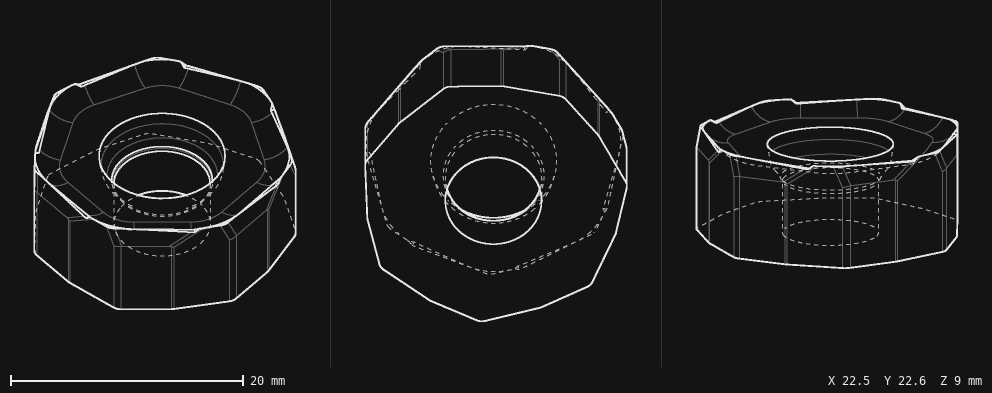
import cadquery as cq
import math

edge_count = 7
edge_pitch = 360 / edge_count
height = 9.0
relief_start_z = 7.37
relief_inset = 0.47

long_flank_apothem = 10.98
long_flank_direction = 180
short_flank_turn = 11.4
nose_angle = 19.7
edge_radius = 1.0

floor_z = 7.9
floor_apothem = 8.45
floor_corner_radius = 3.38
dish_radius = 2.55

dip_depth = 0.35
dip_start = -3.5
dip_lowest = 2.77
dip_end = 3.27
dip_inner_reach = 8.57

bore_radius = 8.3 / 2
bore_chamfer_bottom = (bore_radius, 4.65)
bore_chamfer_top = (4.25, 4.9)
seat_bottom = (4.35, 5.0)
seat_bulge = (4.5, 5.36)
seat_middle = (4.75, 5.68)
seat_hollow = (5.15, 6.22)
seat_top = (5.27, 6.85)
mouth_edge = (5.43, floor_z)

clearance = 1.13


def polar(radius, degrees):
    angle = math.radians(degrees)
    return (radius * math.cos(angle), radius * math.sin(angle))


def flank_outline():
    """Corners of the 14-sided outline, alternating noses and flank joints."""
    nose_radius = long_flank_apothem / math.cos(math.radians(nose_angle))
    next_nose = polar(nose_radius, edge_pitch - nose_angle)
    short_flank_run = (long_flank_apothem - next_nose[0]) / math.tan(math.radians(short_flank_turn))
    joint_y = next_nose[1] - short_flank_run
    joint_radius = math.hypot(long_flank_apothem, joint_y)
    joint_angle = math.degrees(math.atan2(joint_y, long_flank_apothem))
    points = []
    for index in range(edge_count):
        direction = long_flank_direction + index * edge_pitch
        points.append(polar(nose_radius, direction - nose_angle))
        points.append(polar(joint_radius, direction + joint_angle))
    return points


def at_each_edge(cutter):
    """Copies of a cutter made for an edge facing +X, one per edge."""
    for index in range(edge_count):
        direction = long_flank_direction + index * edge_pitch
        yield cutter.rotate((0, 0, 0), (0, 0, 1), direction)


def relief_cutter():
    """Wedge that leans a long flank inward."""
    lean = relief_inset / (height - relief_start_z)
    return (
        cq.Workplane("XZ")
        .moveTo(long_flank_apothem, relief_start_z)
        .lineTo(long_flank_apothem - lean * (height + clearance - relief_start_z), height + clearance)
        .lineTo(long_flank_apothem + clearance, height + clearance)
        .lineTo(long_flank_apothem + clearance, relief_start_z)
        .close()
        .extrude(long_flank_apothem, both=True)
    )


def dish_cutter():
    """Rounded heptagon whose lower rim curves up from the floor."""
    wall_apothem = floor_apothem + dish_radius
    wall_corner = wall_apothem / math.cos(math.pi / edge_count)
    corners = [
        polar(wall_corner, long_flank_direction + (index + 0.5) * edge_pitch)
        for index in range(edge_count)
    ]
    return (
        cq.Workplane("XY")
        .workplane(offset=floor_z)
        .polyline(corners)
        .close()
        .extrude(dish_radius + clearance)
        .edges("|Z")
        .fillet(floor_corner_radius + dish_radius)
        .faces("<Z")
        .edges()
        .fillet(dish_radius)
    )


def dip_cutter():
    """Shallow triangular trough that makes a cutting edge slope down along its length."""
    return (
        cq.Workplane("YZ")
        .workplane(offset=dip_inner_reach)
        .polyline([(dip_start, height), (dip_lowest, height - dip_depth), (dip_end, height)])
        .close()
        .extrude(long_flank_apothem + clearance - dip_inner_reach)
    )


def screw_hole_cutter():
    """Through bore with a curved screw seat and a slightly tapered mouth."""
    return (
        cq.Workplane("XZ")
        .lineTo(bore_radius, 0)
        .lineTo(*bore_chamfer_bottom)
        .lineTo(*bore_chamfer_top)
        .lineTo(*seat_bottom)
        .threePointArc(seat_bulge, seat_middle)
        .threePointArc(seat_hollow, seat_top)
        .lineTo(*mouth_edge)
        .lineTo(0, floor_z)
        .close()
        .revolve(360, (0, 0, 0), (0, 1, 0))
    )


body = cq.Workplane("XY").polyline(flank_outline()).close().extrude(height)
for cutter in at_each_edge(relief_cutter()):
    body = body.cut(cutter)

body = body.edges("not(#Z)").fillet(edge_radius)

body = body.cut(dish_cutter())
for cutter in at_each_edge(dip_cutter()):
    body = body.cut(cutter)

result = body.cut(screw_hole_cutter())